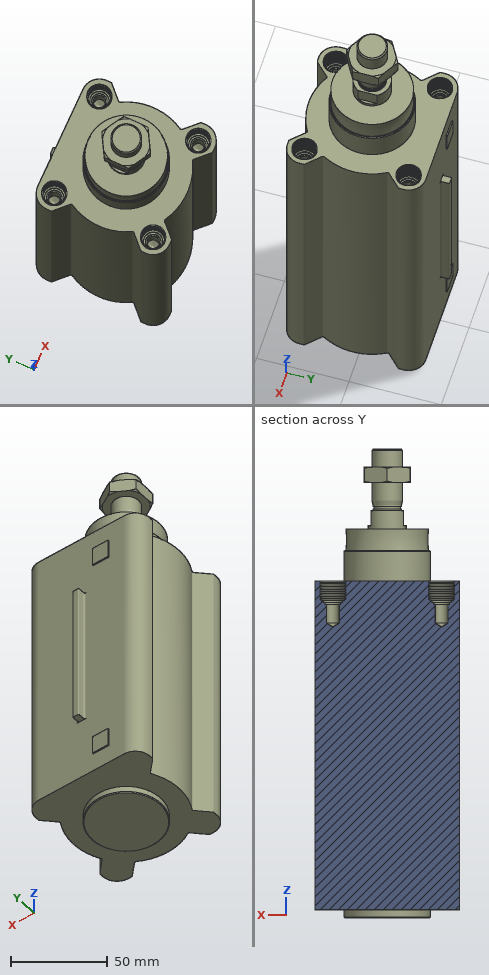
import cadquery as cq
import math

total_height = 243.0
body_bottom = 4.1
body_top = 174.8
neck_top = 190.5
collar_top = 201.8
shank_top = 211.3
body_height = body_top - body_bottom
body_middle = (body_bottom + body_top) / 2

housing_width = 75.0
half_width = housing_width / 2
barrel_radius = 34.5
lug_offset = 28.2
lug_radius = half_width - lug_offset
lug_half_thickness = 8.5
lug_edge_rounding = 1.2
notch_rounding = 1.0

rib_root_diameter = 13.1
rib_crest_diameter = 12.0
rib_height = 0.7
rib_count = 7
floor_step_diameters = (10.0, 8.0)
floor_step_height = 1.0
core_diameter = 6.5
core_depth = 9.7
drill_tip_angle = 118.0

spigot_diameter = 45.0
spigot_chamfer = 0.5
collar_diameter = 43.0
collar_waist_depth = 0.36

rail_width = 4.0
rail_height = 4.9
rail_length = 90.2
rail_tip_rounding = 0.5
rail_base_rounding = 1.0
pad_width = 10.2
pad_length = 11.7
pad_height = 0.7
pad_offset = -13.0
pad_spacing = 135.0

shank_diameter = 20.0
shank_flat_width = 17.0
shank_flat_bottom = 203.5
thread_diameter = 16.0
thread_bottom = 216.4
thread_tip_chamfer = 0.7
undercut_shoulder_diameter = 14.8
undercut_diameter = 13.9
undercut_top = 214.2
undercut_shoulder_height = 0.7

nut_across_flats = 24.0
nut_bottom = 225.8
nut_height = 8.0
nut_chamfer_height = 0.7
nut_chamfer_width = 1.5


def cylinder(diameter, bottom, top):
    return cq.Workplane("XY", origin=(0, 0, bottom)).circle(diameter / 2).extrude(top - bottom)


def revolved(outline):
    """Solid of revolution about Z from a closed half outline in the XZ plane."""
    return outline.close().revolve(360, (0, 0, 0), (0, 1, 0))


def upright_edges_at(shape, points):
    """Vertical edges of the shape that pass through the given (x, y) points."""
    tolerance = 0.02

    def is_wanted(edge):
        center = edge.Center()
        return any(math.hypot(center.x - x, center.y - y) < tolerance for x, y in points)

    return shape.newObject([edge for edge in shape.edges("|Z").vals() if is_wanted(edge)])


def lug_arm():
    """Arm from the axis toward +X +Y with 45 degree flanks and a rounded tip."""
    flank_shift = lug_half_thickness * math.sqrt(2)
    side_corner = (half_width, half_width - flank_shift)
    end_corner = (half_width - flank_shift, half_width)
    tip = lug_offset + lug_radius / math.sqrt(2)
    arm = (
        cq.Workplane("XY", origin=(0, 0, body_bottom))
        .moveTo(0, -flank_shift)
        .lineTo(*side_corner)
        .lineTo(half_width, lug_offset)
        .threePointArc((tip, tip), (lug_offset, half_width))
        .lineTo(*end_corner)
        .lineTo(-flank_shift, 0)
        .close()
        .extrude(body_height)
    )
    return upright_edges_at(arm, [side_corner, end_corner]).fillet(lug_edge_rounding)


def round_notches(body):
    """Round the inner corners where the open lug flanks meet the barrel."""
    along_flank = math.sqrt(barrel_radius**2 - lug_half_thickness**2)
    far = (along_flank + lug_half_thickness) / math.sqrt(2)
    near = (along_flank - lug_half_thickness) / math.sqrt(2)
    corners = [(side * far, sign * near) for side in (-1, 1) for sign in (-1, 1)]
    corners += [(side * near, -far) for side in (-1, 1)]
    return upright_edges_at(body, corners).fillet(notch_rounding)


def housing_body():
    """Barrel with four lugs, filled flat between the two rear lugs."""
    body = cylinder(2 * barrel_radius, body_bottom, body_top)
    for quarter in range(4):
        body = body.union(lug_arm().rotate((0, 0, 0), (0, 0, 1), 90 * quarter))
    rear_fill = (
        cq.Workplane("XY", origin=(0, half_width / 2, body_bottom))
        .rect(2 * lug_offset, half_width)
        .extrude(body_height)
    )
    return round_notches(body.union(rear_fill))


def lug_hole():
    """Cutter for one hole, with its mouth at the origin and pointing down."""
    steps = [(rib_root_diameter, rib_height), (rib_crest_diameter, rib_height)] * rib_count
    steps += [(diameter, floor_step_height) for diameter in floor_step_diameters]
    steps.append((core_diameter, core_depth))
    outline = cq.Workplane("XZ")
    depth = 0
    for diameter, height in steps:
        outline = outline.lineTo(diameter / 2, -depth).lineTo(diameter / 2, -depth - height)
        depth += height
    drill_tip_height = core_diameter / 2 / math.tan(math.radians(drill_tip_angle / 2))
    return revolved(outline.lineTo(0, -depth - drill_tip_height))


def collar():
    """Slightly waisted ring on top of the upper spigot."""
    radius = collar_diameter / 2
    middle = (neck_top + collar_top) / 2
    return revolved(
        cq.Workplane("XZ")
        .moveTo(0, neck_top)
        .lineTo(radius, neck_top)
        .threePointArc((radius - collar_waist_depth, middle), (radius, collar_top))
        .lineTo(0, collar_top)
    )


def add_rail(body):
    """Upright rail on the rear face, rounded at its tip and along its base."""
    rail = (
        cq.Workplane("XY", origin=(0, half_width, body_middle - rail_length / 2))
        .rect(rail_width, 2 * rail_height)
        .extrude(rail_length)
    )
    rail = rail.edges("|Z and >Y").fillet(rail_tip_rounding)
    base_edges = [(side * rail_width / 2, half_width) for side in (-1, 1)]
    return upright_edges_at(body.union(rail), base_edges).fillet(rail_base_rounding)


def pad(height):
    """Raised pad on the rear face, centred at the given height."""
    block = cq.Workplane("XY").box(pad_width, 2 * pad_height, pad_length)
    return block.translate((pad_offset, half_width, height))


def build_housing():
    """Body with its lug holes, rear rail and pads, end spigots and collar."""
    housing = add_rail(housing_body())
    for x in (-lug_offset, lug_offset):
        for y in (-lug_offset, lug_offset):
            housing = housing.cut(lug_hole().translate((x, y, body_top)))
    for side in (-1, 1):
        housing = housing.union(pad(body_middle + side * pad_spacing / 2))
    lower_spigot = cylinder(spigot_diameter, 0, body_bottom).faces("<Z").chamfer(spigot_chamfer)
    upper_spigot = cylinder(spigot_diameter, body_top, neck_top).faces(">Z").chamfer(spigot_chamfer)
    return housing.union(lower_spigot).union(upper_spigot).union(collar())


def rod_shank():
    """Round shank with two wrench flats facing -X and +X."""
    shank = cylinder(shank_diameter, collar_top, shank_top)
    full_round = cylinder(shank_diameter, collar_top, shank_flat_bottom)
    flatted = (
        cq.Workplane("XY", origin=(0, 0, shank_flat_bottom))
        .rect(shank_flat_width, shank_diameter)
        .extrude(shank_top - shank_flat_bottom)
    )
    return shank.intersect(flatted.union(full_round))


def rod_undercut():
    """Undercut groove between two shoulders, widening in a cone to the thread diameter."""
    lower_step = shank_top + undercut_shoulder_height
    upper_step = undercut_top - undercut_shoulder_height
    return revolved(
        cq.Workplane("XZ")
        .moveTo(0, shank_top)
        .lineTo(undercut_shoulder_diameter / 2, shank_top)
        .lineTo(undercut_shoulder_diameter / 2, lower_step)
        .lineTo(undercut_diameter / 2, lower_step)
        .lineTo(undercut_diameter / 2, upper_step)
        .lineTo(undercut_shoulder_diameter / 2, upper_step)
        .lineTo(undercut_shoulder_diameter / 2, undercut_top)
        .lineTo(thread_diameter / 2, thread_bottom)
        .lineTo(0, thread_bottom)
    )


def build_rod():
    """Rod from the collar face upward: shank, undercut and threaded end."""
    threaded_end = cylinder(thread_diameter, thread_bottom, total_height)
    threaded_end = threaded_end.faces(">Z").chamfer(thread_tip_chamfer)
    return rod_shank().union(rod_undercut()).union(threaded_end)


def build_nut():
    """Hexagon with corners toward -Y and +Y, chamfered corners and a hole for the rod."""
    nut_top = nut_bottom + nut_height
    corner_diameter = nut_across_flats / math.cos(math.radians(30))
    hexagon = (
        cq.Workplane("XY", origin=(0, 0, nut_bottom))
        .transformed(rotate=(0, 0, 30))
        .polygon(6, corner_diameter)
        .extrude(nut_height)
    )
    chamfered_round = (
        cylinder(corner_diameter, nut_bottom, nut_top)
        .faces("<Z or >Z")
        .chamfer(nut_chamfer_height, nut_chamfer_width)
    )
    return hexagon.intersect(chamfered_round).cut(cylinder(thread_diameter, nut_bottom, nut_top))


housing = build_housing()
piston_rod = build_rod()
lock_nut = build_nut()

result = cq.Compound.makeCompound([housing.val(), piston_rod.val(), lock_nut.val()])